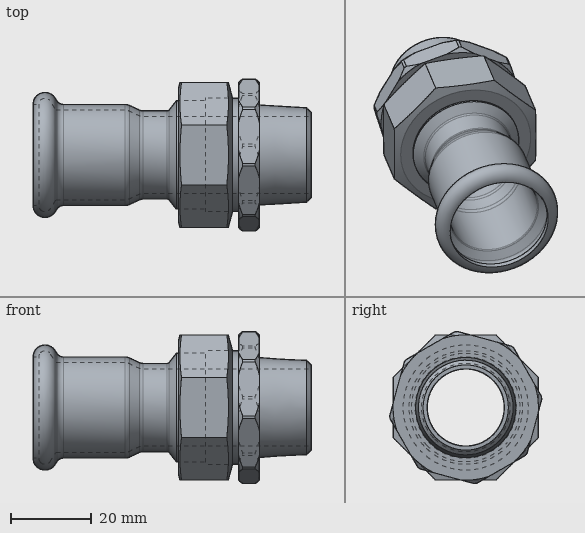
import cadquery as cq
import math

total_length = 69.0

tube_radius = 12.55
tube_wall = 1.45
neck_radius = 11.0
flange_radius = 13.45
bead_radius = 3.0
bead_angle = 58.0
bead_fillet_length = 1.65
mouth_bend_length = 0.35
lip_radius = 12.5
shoulder_start = 22.85
shoulder_angle = 25.0
shoulder_first_bend = 1.05
shoulder_last_bend = 0.8
flare_start = 33.25
flare_angle = 52.0
flare_bend_length = 0.5

nut_start = 36.0
nut_end = 49.5
nut_width = 36.0
nut_face_radius = 16.55
nut_chamfer_angle = 15.0

joint_x = 42.8
collar_radius = 14.1
hub_start = 50.9
hub_end = 56.1
hub_width = 35.3
hub_radius = 19.0
hub_face_radius = 18.0
hub_chamfer_length = 1.05
hub_turn = 7.3
thread_start_radius = 12.4
thread_end_radius = 11.7
thread_chamfer_start = 67.75
thread_tip_radius = 10.55

sides = 8
bore_radius = neck_radius - tube_wall


def tangent_ratio(degrees):
    return math.tan(math.radians(degrees))


def revolve(outline):
    """Turn a closed (X, radius) outline drawn on the XY plane around the X axis."""
    return outline.close().revolve(360, (0, 0, 0), (1, 0, 0))


def cylinder(start, end, radius):
    return cq.Workplane("YZ", origin=(start, 0, 0)).circle(radius).extrude(end - start)


def octagon_bar(start, end, width, corner_turn):
    """Octagonal bar along X with one corner turned from +Z towards -Y by corner_turn degrees."""
    across_corners = width / math.cos(math.pi / sides)
    bar = cq.Workplane("YZ", origin=(start, 0, 0)).polygon(sides, across_corners).extrude(end - start)
    return bar.rotate((0, 0, 0), (1, 0, 0), corner_turn)


def arc_point(radius, degrees):
    """Point on a circle about the bead's centre, measured from its crest towards +X."""
    angle = math.radians(degrees)
    return (bead_radius + radius * math.sin(angle), tube_radius + radius * math.cos(angle))


def bend_height(length, degrees):
    """Change of radius along a tangent arc that turns from parallel to the given slope."""
    return length * tangent_ratio(degrees / 2)


def make_press_tube():
    tube_bore = tube_radius - tube_wall

    bead_inner_radius = bead_radius - tube_wall
    bead_arc_end = arc_point(bead_radius, bead_angle)
    bead_inner_arc_end = arc_point(bead_inner_radius, bead_angle)
    lip_drop = tube_radius - lip_radius
    outer_lip_x = bead_radius - math.sqrt(bead_radius**2 - lip_drop**2)
    inner_lip_x = bead_radius - math.sqrt(bead_inner_radius**2 - lip_drop**2)

    bead_fillet_radius = tube_radius + bend_height(bead_fillet_length, bead_angle)
    bead_cone_end = bead_arc_end[0] + (bead_arc_end[1] - bead_fillet_radius) / tangent_ratio(bead_angle)
    mouth_radius = tube_bore + bend_height(mouth_bend_length, bead_angle)
    mouth_x = bead_inner_arc_end[0] + (bead_inner_arc_end[1] - mouth_radius) / tangent_ratio(bead_angle)

    shoulder_drop = bend_height(shoulder_first_bend, shoulder_angle)
    shoulder_rise = bend_height(shoulder_last_bend, shoulder_angle)
    shoulder_cone_drop = tube_radius - neck_radius - shoulder_drop - shoulder_rise
    shoulder_cone_start = shoulder_start + shoulder_first_bend
    shoulder_cone_end = shoulder_cone_start + shoulder_cone_drop / tangent_ratio(shoulder_angle)
    shoulder_end = shoulder_cone_end + shoulder_last_bend

    flare_cone_start = flare_start + flare_bend_length
    flare_cone_radius = neck_radius + bend_height(flare_bend_length, flare_angle)
    flare_end = flare_cone_start + (flange_radius - flare_cone_radius) / tangent_ratio(flare_angle)

    return revolve(
        cq.Workplane("XY")
        .moveTo(outer_lip_x, lip_radius)
        .threePointArc(arc_point(bead_radius, 0), bead_arc_end)
        .lineTo(bead_cone_end, bead_fillet_radius)
        .tangentArcPoint((bead_cone_end + bead_fillet_length, tube_radius), relative=False)
        .lineTo(shoulder_start, tube_radius)
        .tangentArcPoint((shoulder_cone_start, tube_radius - shoulder_drop), relative=False)
        .lineTo(shoulder_cone_end, neck_radius + shoulder_rise)
        .tangentArcPoint((shoulder_end, neck_radius), relative=False)
        .lineTo(flare_start, neck_radius)
        .tangentArcPoint((flare_cone_start, flare_cone_radius), relative=False)
        .lineTo(flare_end, flange_radius)
        .lineTo(joint_x, flange_radius)
        .lineTo(joint_x, bore_radius)
        .lineTo(shoulder_end, bore_radius)
        .tangentArcPoint((shoulder_cone_end, bore_radius + shoulder_rise), relative=False)
        .lineTo(shoulder_cone_start, tube_bore - shoulder_drop)
        .tangentArcPoint((shoulder_start, tube_bore), relative=False)
        .lineTo(mouth_x + mouth_bend_length, tube_bore)
        .tangentArcPoint((mouth_x, mouth_radius), relative=False)
        .lineTo(*bead_inner_arc_end)
        .threePointArc(arc_point(bead_inner_radius, 0), (inner_lip_x, lip_radius))
    )


def make_union_nut():
    slope = tangent_ratio(nut_chamfer_angle)
    crest_radius = nut_width
    chamfered_blank = revolve(
        cq.Workplane("XY")
        .moveTo(nut_start, 0)
        .lineTo(nut_start, nut_face_radius)
        .lineTo(nut_start + (crest_radius - nut_face_radius) * slope, crest_radius)
        .lineTo(nut_end - (crest_radius - collar_radius) * slope, crest_radius)
        .lineTo(nut_end, collar_radius)
        .lineTo(nut_end, 0)
    )
    nut = octagon_bar(nut_start, nut_end, nut_width, 180 / sides).intersect(chamfered_blank)
    nut = nut.cut(cylinder(nut_start, joint_x, flange_radius))
    return nut.cut(cylinder(joint_x, nut_end, collar_radius))


def make_adapter():
    collar = cylinder(joint_x, hub_start, collar_radius)
    turned_blank = revolve(
        cq.Workplane("XY")
        .moveTo(hub_start, 0)
        .lineTo(hub_start, hub_face_radius)
        .lineTo(hub_start + hub_chamfer_length, hub_radius)
        .lineTo(hub_end - hub_chamfer_length, hub_radius)
        .lineTo(hub_end, hub_face_radius)
        .lineTo(hub_end, 0)
    )
    hub = octagon_bar(hub_start, hub_end, hub_width, hub_turn).intersect(turned_blank)
    thread = revolve(
        cq.Workplane("XY")
        .moveTo(hub_end, 0)
        .lineTo(hub_end, thread_start_radius)
        .lineTo(thread_chamfer_start, thread_end_radius)
        .lineTo(total_length, thread_tip_radius)
        .lineTo(total_length, 0)
    )
    return collar.union(hub).union(thread).cut(cylinder(joint_x, total_length, bore_radius))


press_tube = make_press_tube()
union_nut = make_union_nut()
adapter = make_adapter()

result = cq.Compound.makeCompound([press_tube.val(), union_nut.val(), adapter.val()])